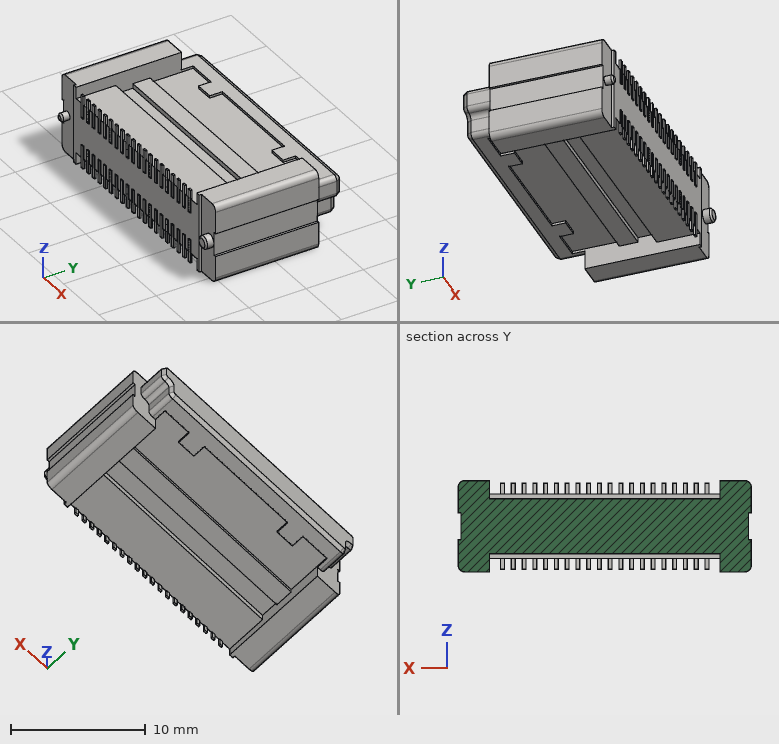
import cadquery as cq


LENGTH = 21.8
BLOCK_HEIGHT = 6.8
BLOCK_FACE_Y = 0.2
BLOCK_REAR_Y = 9.2
BLOCK_CORNER_RADIUS = 0.5
SIDE_NOTCH_DEPTH = 0.2
SIDE_NOTCH_HEIGHT = 2.0
SHOULDER_WIDTH = 0.35

BODY_LENGTH = 17.1
BODY_HEIGHT = 4.8
GROOVE_FLOOR_HEIGHT = 3.3
RIDGE_HEIGHT = 4.1
GROOVE_FRONT_Y = 3.45
RIDGE_FRONT_Y = 4.95
RIDGE_REAR_Y = 6.45

TONGUE_END_Y = 11.65
TONGUE_START_Y = 8.0
TONGUE_HEIGHT = 3.7
TONGUE_UPPER_LENGTH = 20.1
TONGUE_RADIUS = 0.4
LEAD_IN_LENGTH = 0.35
LEAD_IN_INSET = 0.2

RECESS_END_Y = 10.2
TAB_END_Y = 9.1
TAB_WIDTH = 1.6
TAB_CENTER_X = 5.2

TAIL_COUNT = 20
TAIL_PITCH = 0.8
TAIL_WIDTH = 0.3
TAIL_FRONT_Y = -0.075
TAIL_REAR_Y = 0.075
TAIL_INNER_Z = 1.2
TAIL_OUTER_Z = 3.2

PEG_TIP_Y = -0.5
PEG_CENTER_X = 10.1
SMALL_PEG_DIAMETER = 0.7
LARGE_PEG_DIAMETER = 1.1
PEG_CHAMFER = 0.15


def box(x_min, x_max, y_min, y_max, z_min, z_max):
    """Axis-aligned box given by its limits."""
    size = (x_max - x_min, y_max - y_min, z_max - z_min)
    return cq.Workplane("XY").box(*size, centered=False).translate((x_min, y_min, z_min))


def make_end_block():
    """End block on the +X side, with its shoulder, rounded corners and side notch."""
    inner_x = BODY_LENGTH / 2
    outer_x = LENGTH / 2
    half_height = BLOCK_HEIGHT / 2
    half_notch = SIDE_NOTCH_HEIGHT / 2
    block = box(inner_x, outer_x, BLOCK_FACE_Y, BLOCK_REAR_Y, -half_height, half_height)
    block = block.edges("|Y and >X").fillet(BLOCK_CORNER_RADIUS)
    block = block.cut(
        box(outer_x - SIDE_NOTCH_DEPTH, outer_x, BLOCK_FACE_Y, BLOCK_REAR_Y, -half_notch, half_notch)
    )
    shoulder = box(inner_x, inner_x + SHOULDER_WIDTH, 0, BLOCK_REAR_Y, -half_height, half_height)
    return block.union(shoulder)


def make_body():
    """Central body: a thick front, then a groove, a ridge and a thin rear, on both Z faces."""
    sections = [
        (0, GROOVE_FRONT_Y, BODY_HEIGHT),
        (GROOVE_FRONT_Y, RIDGE_FRONT_Y, GROOVE_FLOOR_HEIGHT),
        (RIDGE_FRONT_Y, RIDGE_REAR_Y, RIDGE_HEIGHT),
        (RIDGE_REAR_Y, BLOCK_REAR_Y, GROOVE_FLOOR_HEIGHT),
    ]
    half_length = BODY_LENGTH / 2
    body = cq.Workplane("XY")
    for front_y, rear_y, height in sections:
        body = body.union(box(-half_length, half_length, front_y, rear_y, -height / 2, height / 2))
    return body


def make_tongue_outline():
    """Closed keyed outline of the tongue in the XZ plane, starting at its top left."""
    radius = TONGUE_RADIUS
    half_height = TONGUE_HEIGHT / 2
    upper_x = TONGUE_UPPER_LENGTH / 2
    lower_x = upper_x - 2 * radius
    return (
        cq.Workplane("XZ", origin=(0, TONGUE_START_Y, 0))
        .moveTo(-upper_x + radius, half_height)
        .lineTo(upper_x - radius, half_height)
        .tangentArcPoint((upper_x, half_height - radius), relative=False)
        .lineTo(upper_x, radius)
        .tangentArcPoint((upper_x - radius, 0), relative=False)
        .tangentArcPoint((lower_x, -radius), relative=False)
        .lineTo(lower_x, -half_height + radius)
        .tangentArcPoint((lower_x - radius, -half_height), relative=False)
        .lineTo(-lower_x + radius, -half_height)
        .tangentArcPoint((-lower_x, -half_height + radius), relative=False)
        .lineTo(-lower_x, -radius)
        .tangentArcPoint((-lower_x - radius, 0), relative=False)
        .tangentArcPoint((-upper_x, radius), relative=False)
        .lineTo(-upper_x, half_height - radius)
        .tangentArcPoint((-upper_x + radius, half_height), relative=False)
        .close()
    )


def make_tongue():
    """Tongue with a keyed outline, tapered all round at the mating end."""
    tongue = make_tongue_outline().extrude(TONGUE_START_Y - TONGUE_END_Y)
    return tongue.faces(">Y").chamfer(LEAD_IN_LENGTH, LEAD_IN_INSET)


def make_recess(z_min, z_max):
    """Volume removed from one tongue face, leaving the two tabs standing."""
    half_length = BODY_LENGTH / 2
    recess = box(-half_length, half_length, TONGUE_START_Y, RECESS_END_Y, z_min, z_max)
    for center_x in (-TAB_CENTER_X, TAB_CENTER_X):
        tab_left = center_x - TAB_WIDTH / 2
        recess = recess.cut(box(tab_left, tab_left + TAB_WIDTH, TAB_END_Y, RECESS_END_Y, z_min, z_max))
    return recess


def make_tails():
    """Two rows of flat contact tails standing proud of the board face."""
    tails = cq.Workplane("XY")
    for index in range(TAIL_COUNT):
        left_x = (index - (TAIL_COUNT - 1) / 2) * TAIL_PITCH - TAIL_WIDTH / 2
        right_x = left_x + TAIL_WIDTH
        tails.add(box(left_x, right_x, TAIL_FRONT_Y, TAIL_REAR_Y, TAIL_INNER_Z, TAIL_OUTER_Z))
        tails.add(box(left_x, right_x, TAIL_FRONT_Y, TAIL_REAR_Y, -TAIL_OUTER_Z, -TAIL_INNER_Z))
    return tails.combine()


def make_peg(center_x, diameter):
    """Locating peg pointing toward -Y with a chamfered tip."""
    peg = cq.Workplane("XZ", origin=(center_x, BLOCK_FACE_Y, 0))
    peg = peg.circle(diameter / 2).extrude(BLOCK_FACE_Y - PEG_TIP_Y)
    return peg.faces("<Y").chamfer(PEG_CHAMFER)


tongue = make_tongue()
tongue = tongue.cut(make_recess(GROOVE_FLOOR_HEIGHT / 2, TONGUE_HEIGHT / 2))
tongue = tongue.cut(make_recess(-TONGUE_HEIGHT / 2, -GROOVE_FLOOR_HEIGHT / 2))

end_block = make_end_block()

result = make_body().union(tongue)
result = result.union(end_block).union(end_block.mirror("YZ"))
result = result.union(make_tails())
result = result.union(make_peg(-PEG_CENTER_X, SMALL_PEG_DIAMETER))
result = result.union(make_peg(PEG_CENTER_X, LARGE_PEG_DIAMETER))